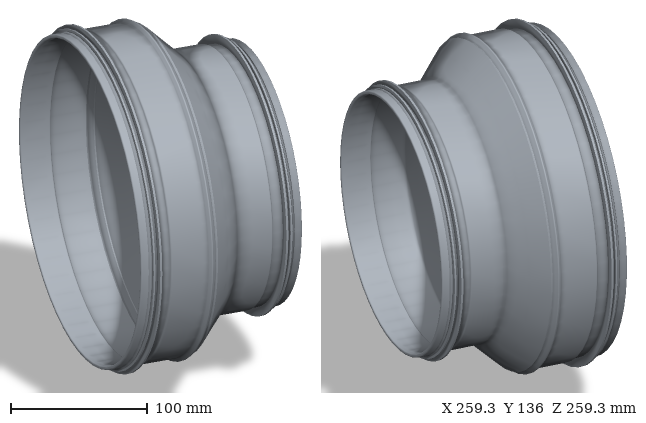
import cadquery as cq
import math


LENGTH = 136.0
SHEET = 1.0
LARGE_R = 249.0 / 2
LARGE_SEAT_R = 245.3 / 2
SMALL_R = 197.8 / 2
SMALL_SEAT_R = 195.3 / 2
LARGE_HEM_R = LARGE_R
SMALL_HEM_R = 199.0 / 2
HEM_LENGTH = 6.0
HEM_ROUND = 1.0

LARGE_STEP_START = 22.0
LARGE_STEP_END = 24.6
SMALL_STEP_START = 112.0
SMALL_STEP_END = 114.0
STEP_SHIFT = 0.8

BEAD_Y = 55.0
BEAD_R = 254.5 / 2
BEAD_HALF_WIDTH = 3.0
BEAD_FOOT_BLEND = 0.8
NECK_R = 248.0 / 2
NECK_END = 59.0

CONE_ANGLE = math.radians(45)
BEND_START = 87.0
BEND_RADIUS = 3.5

LARGE_GASKET_R = 248.0 / 2
LARGE_LIP_R = 254.5 / 2
LARGE_FLANGE_R = 259.3 / 2
SMALL_GASKET_R = 197.0 / 2
SMALL_LIP_R = 204.3 / 2
SMALL_FLANGE_R = 209.3 / 2
SHOULDER_END = 7.8
SHOULDER_HEIGHT = 1.5
LIP_START = 8.8
LIP_END = 10.0
FLANGE_START = 13.0
FLANGE_END = 14.5


def revolve(profile):
    return profile.close().revolve(360, (0, 0, 0), (0, 1, 0))


def s_step(profile, start_r, start_y, end_r, end_y):
    """Go to the step start, then follow two tangent arcs that end parallel to the axis."""
    middle = ((start_r + end_r) / 2, (start_y + end_y) / 2)
    return (
        profile.lineTo(start_r, start_y)
        .tangentArcPoint(middle, relative=False)
        .tangentArcPoint((end_r, end_y), relative=False)
    )


def bend_end(start_r, radius):
    """End of the arc that turns from the small pipe into the cone."""
    return (
        start_r + radius * (1 - math.cos(CONE_ANGLE)),
        BEND_START - radius * math.sin(CONE_ANGLE),
    )


def cone_y(bend, r):
    """Y where the cone running from the bend reaches radius r."""
    return bend[1] - (r - bend[0]) / math.tan(CONE_ANGLE)


def make_shell():
    large_inner = LARGE_R - SHEET
    small_inner = SMALL_R - SHEET
    large_bore = LARGE_SEAT_R - SHEET
    small_bore = SMALL_SEAT_R - SHEET
    neck_inner = NECK_R - SHEET
    outer_bend = bend_end(SMALL_R, BEND_RADIUS)
    inner_bend = bend_end(small_inner, BEND_RADIUS + SHEET)

    crown_drop = LARGE_R + BEAD_HALF_WIDTH - BEAD_R
    crown_radius = crown_drop / (math.sqrt(2) - 1)
    crown_half = crown_radius / math.sqrt(2)
    crown_edge_r = LARGE_R + BEAD_HALF_WIDTH - crown_half
    bead_foot_y = BEAD_Y - BEAD_HALF_WIDTH
    blend_leg = BEAD_FOOT_BLEND / math.sqrt(2)
    neck_foot_y = BEAD_Y + BEAD_HALF_WIDTH - (NECK_R - LARGE_R)
    groove_peak_r = LARGE_R + BEAD_HALF_WIDTH - SHEET * math.sqrt(2)

    profile = (
        cq.Workplane("XY")
        .moveTo(large_bore + HEM_ROUND, 0)
        .lineTo(LARGE_HEM_R - HEM_ROUND, 0)
        .tangentArcPoint((LARGE_HEM_R, HEM_ROUND), relative=False)
        .lineTo(LARGE_HEM_R, HEM_LENGTH)
        .lineTo(LARGE_SEAT_R, HEM_LENGTH)
    )
    profile = s_step(profile, LARGE_SEAT_R, LARGE_STEP_START, LARGE_R, LARGE_STEP_END)
    profile = (
        profile.lineTo(LARGE_R, bead_foot_y - BEAD_FOOT_BLEND)
        .tangentArcPoint((LARGE_R + blend_leg, bead_foot_y + blend_leg), relative=False)
        .lineTo(crown_edge_r, BEAD_Y - crown_half)
        .threePointArc((BEAD_R, BEAD_Y), (crown_edge_r, BEAD_Y + crown_half))
        .lineTo(NECK_R, neck_foot_y)
        .lineTo(NECK_R, NECK_END)
        .lineTo(LARGE_R, cone_y(outer_bend, LARGE_R))
        .lineTo(*outer_bend)
        .tangentArcPoint((SMALL_R, BEND_START), relative=False)
    )
    profile = s_step(profile, SMALL_R, SMALL_STEP_START, SMALL_SEAT_R, SMALL_STEP_END)
    profile = (
        profile.lineTo(SMALL_SEAT_R, LENGTH - HEM_LENGTH)
        .lineTo(SMALL_HEM_R, LENGTH - HEM_LENGTH)
        .lineTo(SMALL_HEM_R, LENGTH - HEM_ROUND)
        .tangentArcPoint((SMALL_HEM_R - HEM_ROUND, LENGTH), relative=False)
        .lineTo(small_bore + HEM_ROUND, LENGTH)
        .tangentArcPoint((small_bore, LENGTH - HEM_ROUND), relative=False)
    )

    profile = s_step(
        profile,
        small_bore, SMALL_STEP_END - STEP_SHIFT,
        small_inner, SMALL_STEP_START - STEP_SHIFT,
    )
    profile = (
        profile.lineTo(small_inner, BEND_START)
        .tangentArcPoint(inner_bend, relative=False)
        .lineTo(large_inner, cone_y(inner_bend, large_inner))
        .lineTo(neck_inner, NECK_END)
        .lineTo(neck_inner, BEAD_Y + groove_peak_r - neck_inner)
        .lineTo(groove_peak_r, BEAD_Y)
        .lineTo(large_inner, BEAD_Y - (groove_peak_r - large_inner))
    )
    profile = s_step(
        profile,
        large_inner, LARGE_STEP_END + STEP_SHIFT,
        large_bore, LARGE_STEP_START + STEP_SHIFT,
    )
    profile = (
        profile.lineTo(large_bore, HEM_ROUND)
        .tangentArcPoint((large_bore + HEM_ROUND, 0), relative=False)
    )
    return revolve(profile)


def make_gasket(seat_r, base_r, lip_r, flange_r, end_y, inward):
    """Ring on a seat, with a shoulder, a lip and a flange; inward (+1 or -1) points along Y."""
    points = [
        (seat_r, HEM_LENGTH),
        (base_r, HEM_LENGTH),
        (base_r + SHOULDER_HEIGHT, SHOULDER_END),
        (base_r, SHOULDER_END),
        (base_r, LIP_START),
        (lip_r, LIP_START),
        (lip_r, LIP_END),
        (base_r, LIP_END),
        (base_r, FLANGE_START),
        (flange_r, FLANGE_START),
        (flange_r, FLANGE_END),
        (seat_r, FLANGE_END),
    ]
    placed = [(r, end_y + inward * distance) for r, distance in points]
    return revolve(cq.Workplane("XY").polyline(placed))


shell = make_shell()
gasket_places = [
    (LARGE_SEAT_R, LARGE_GASKET_R, LARGE_LIP_R, LARGE_FLANGE_R, 0, 1),
    (SMALL_SEAT_R, SMALL_GASKET_R, SMALL_LIP_R, SMALL_FLANGE_R, LENGTH, -1),
]
gaskets = [make_gasket(*place).val() for place in gasket_places]

result = cq.Compound.makeCompound([shell.val(), *gaskets])